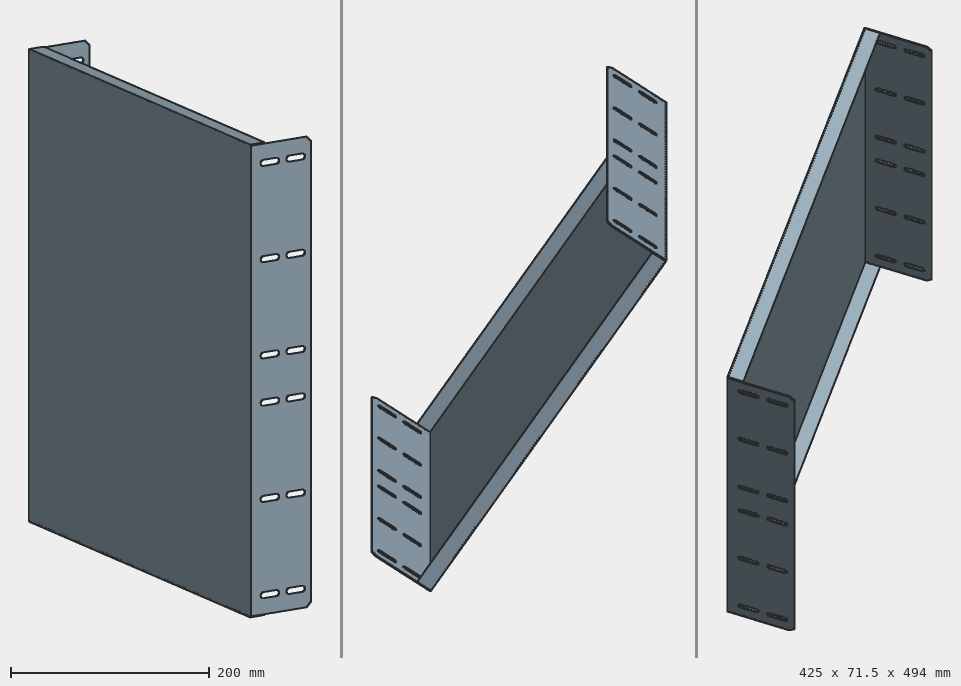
import cadquery as cq

panel_width = 425.0
panel_height = 494.0
side_depth = 71.5
end_depth = 17.0
sheet = 1.2

corner_clip = 5.5

slot_length = 21.5
slot_height = 6.5
slot_inset = 18.5
slot_spacing = 30.5
slots_per_row = 2
rows_per_half = 3
first_row_offset = 24.5
last_row_offset = 226.0

side_height = panel_height - 2 * sheet
end_width = panel_width - 2 * sheet

row_pitch = (last_row_offset - first_row_offset) / (rows_per_half - 1)
slot_columns = [side_depth - slot_inset - i * slot_spacing for i in range(slots_per_row)]
upper_rows = [first_row_offset + i * row_pitch for i in range(rows_per_half)]
slot_centres = [(y, sign * z) for y in slot_columns for z in upper_rows for sign in (-1, 1)]


def centred_block(width, depth, height):
    """Block centred on X and Z, with its front face at y = 0."""
    return cq.Workplane("XY").box(width, depth, height, centered=(True, False, True))


def side_channel():
    """Front face folded back into the two deep side flanges, with clipped rear corners."""
    channel = centred_block(panel_width, side_depth, side_height).edges("|X and >Y").chamfer(corner_clip)
    inside = centred_block(end_width, side_depth, panel_height).translate((0, sheet, 0))
    return channel.cut(inside)


def end_channel():
    """Front face folded back into the shallow top and bottom flanges."""
    channel = centred_block(end_width, end_depth, panel_height)
    inside = centred_block(panel_width, end_depth, side_height).translate((0, sheet, 0))
    return channel.cut(inside)


def mounting_slots():
    """Round-ended slots running through both side flanges."""
    return (
        cq.Workplane("YZ")
        .pushPoints(slot_centres)
        .slot2D(slot_length, slot_height)
        .extrude(panel_width, both=True)
    )


result = side_channel().union(end_channel()).cut(mounting_slots())